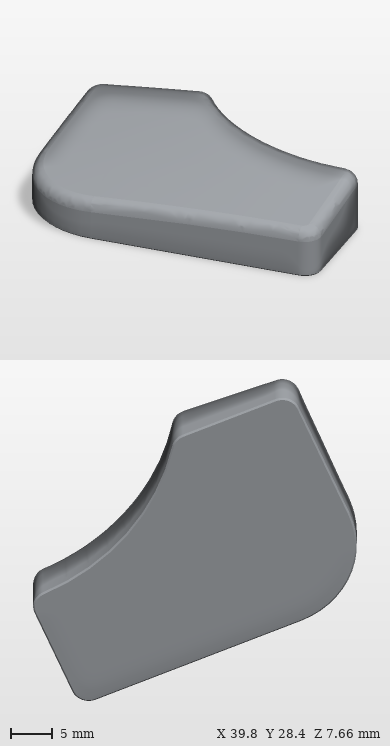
import cadquery as cq
import math

length = 39.8
width = 28.4
large_corner_radius = 11.02
small_corner_diameter = 4.25
small_corner_radius = small_corner_diameter / 2

arc_center_x = 38.75
arc_center_y = 43.55
arc_radius = 27.9

rim_height = 7.85
top_slope = 0.12
top_fillet = 1.5
bottom_chamfer = 0.2
envelope_radius = 79.6


def arc_y(x):
    """Y of the concave arc at a given X."""
    return arc_center_y - math.sqrt(arc_radius**2 - (x - arc_center_x) ** 2)


def plan_body():
    """Upright block with the concave side and rounded vertical corners."""
    arc_start_x = arc_center_x - math.sqrt(arc_radius**2 - (arc_center_y - width) ** 2)
    arc_middle_x = (arc_start_x + length) / 2
    block = (
        cq.Workplane("XY")
        .lineTo(length, 0)
        .lineTo(length, arc_y(length))
        .threePointArc((arc_middle_x, arc_y(arc_middle_x)), (arc_start_x, width))
        .lineTo(0, width)
        .close()
        .extrude(rim_height)
    )
    corner_radii = [
        ((0, 0), large_corner_radius),
        ((length, 0), small_corner_radius),
        ((length, arc_y(length)), small_corner_radius),
        ((arc_start_x, width), small_corner_radius),
        ((0, width), small_corner_radius),
    ]
    for (x, y), radius in corner_radii:
        corner = cq.selectors.NearestToPointSelector((x, y, rim_height / 2))
        block = block.edges("|Z").edges(corner).fillet(radius)
    return block


def conical_envelope():
    """Solid of revolution about the arc axis, with a top that falls outward."""
    inner_height = rim_height + top_slope * arc_radius
    outer_height = inner_height - top_slope * envelope_radius
    profile = (
        cq.Workplane("XZ")
        .polyline([(0, 0), (envelope_radius, 0), (envelope_radius, outer_height), (0, inner_height)])
        .close()
    )
    envelope = profile.revolve(360, (0, 0, 0), (0, 1, 0))
    return envelope.translate((arc_center_x, arc_center_y, 0))


body = plan_body().intersect(conical_envelope())
body = body.faces("%CONE").edges().fillet(top_fillet)
result = body.faces("<Z").edges().chamfer(bottom_chamfer)